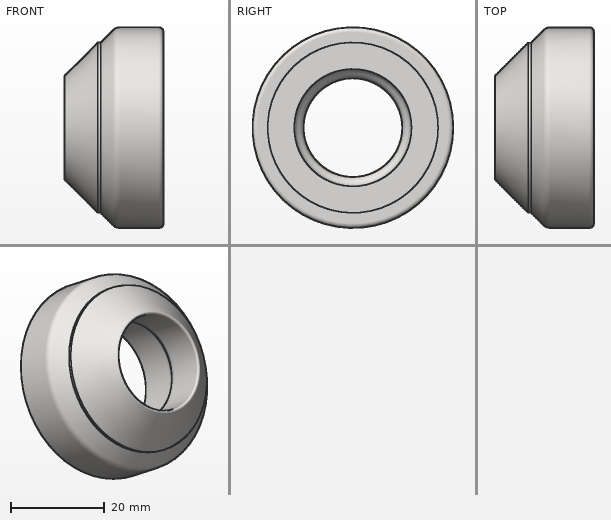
import cadquery as cq
import math

outer_radius = 21.5
total_length = 21.2

bore_radius = 10.55
flare_start = 8.4
flare_middle_radius = 23.1 / 2
rear_bore_radius = 2 * flare_middle_radius - bore_radius
flare_length = 4.35
tip_round = 0.41
barrel_radius = 18.25
cone_angle = math.radians(45)

rim_start = 7.75
shoulder_round = 1.98
back_round = 1.0


def arc_point(center, radius, angle):
    """Point on an arc about center, with the angle in radians from +X."""
    return (center[0] + radius * math.cos(angle), center[1] + radius * math.sin(angle))


def turn(profile):
    """Revolve a profile of (X, radius) points about the X axis."""
    return profile.close().revolve(360, (0, 0, 0), (1, 0, 0))


def make_nose():
    """Tapered tip and barrel, with a bore that widens smoothly toward the back."""
    flare_middle = (flare_start + flare_length / 2, flare_middle_radius)
    tip_center = (tip_round, bore_radius + tip_round)
    cone_start = arc_point(tip_center, tip_round, math.radians(90) + cone_angle)
    cone_end_x = cone_start[0] + (barrel_radius - cone_start[1]) / math.tan(cone_angle)
    profile = (
        cq.Workplane("XY")
        .moveTo(*cone_start)
        .lineTo(cone_end_x, barrel_radius)
        .lineTo(total_length, barrel_radius)
        .lineTo(total_length, rear_bore_radius)
        .lineTo(flare_start + flare_length, rear_bore_radius)
        .tangentArcPoint(flare_middle, relative=False)
        .tangentArcPoint((flare_start, bore_radius), relative=False)
        .lineTo(tip_center[0], bore_radius)
        .threePointArc(arc_point(tip_center, tip_round, math.radians(180)), cone_start)
    )
    return turn(profile)


def make_rim():
    """Sleeve with a conical shoulder, rounded into a cylinder with a rounded back edge."""
    cone_end_angle = math.radians(90) + cone_angle
    shoulder_mid_angle = math.radians(90) + cone_angle / 2
    shoulder_center_r = outer_radius - shoulder_round
    cone_end_r = shoulder_center_r + shoulder_round * math.sin(cone_end_angle)
    cone_end_x = rim_start + (cone_end_r - barrel_radius) / math.tan(cone_angle)
    shoulder_center = (cone_end_x - shoulder_round * math.cos(cone_end_angle), shoulder_center_r)
    back_center = (total_length - back_round, outer_radius - back_round)
    profile = (
        cq.Workplane("XY")
        .moveTo(rim_start, barrel_radius)
        .lineTo(cone_end_x, cone_end_r)
        .threePointArc(
            arc_point(shoulder_center, shoulder_round, shoulder_mid_angle),
            (shoulder_center[0], outer_radius),
        )
        .lineTo(back_center[0], outer_radius)
        .threePointArc(
            arc_point(back_center, back_round, math.radians(45)),
            (total_length, back_center[1]),
        )
        .lineTo(total_length, barrel_radius)
    )
    return turn(profile)


nose = make_nose()
rim = make_rim()
result = cq.Compound.makeCompound([nose.val(), rim.val()])